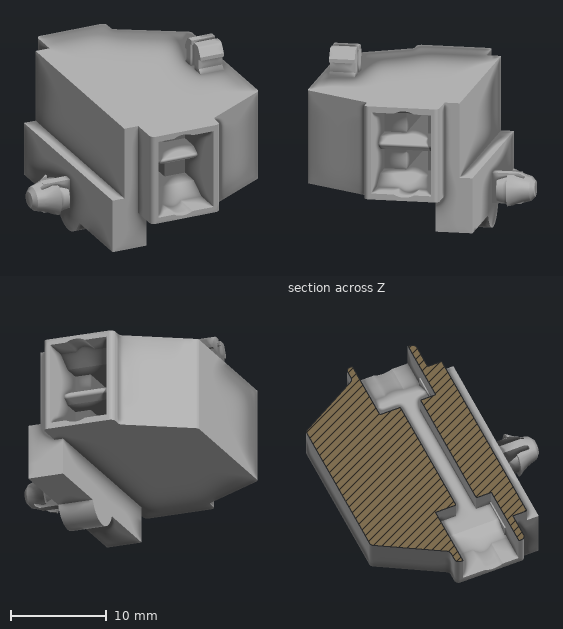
import cadquery as cq
import math


housing_width = 28.2
housing_height = 10.0
housing_depth = 16.8
front_half_width = 10.85
ear_front_y = 1.6
ear_back_y = 9.6
back_half_width = 8.25
flank_angle = 30.0
corner_radius = 0.5

entry_front_y = 2.43
entry_back_y = 8.8
entry_wall = 0.65
entry_flat_depth = 3.0
ramp_angle = 30.0
throat_z = 1.72
entry_depth = 7.0
channel_height = 0.28
channel_half_width = 1.07
window_width = 2.28
window_y = 5.3
divider_half_height = 0.68
divider_nose_radius = 0.28

bracket_front_y = -1.35
bracket_depth = 3.92
bracket_top_z = 2.0
bracket_bottom_z = -3.92
tab_radius = 2.8
tab_bottom_z = -5.78

clip_height = 3.0
clip_front_y = 13.05
clip_length = 2.74
clip_head_half_width = 1.85
clip_neck_half_width = 1.47
clip_neck_z = 1.52
clip_flare_height = 0.45
clip_top_half_width = 1.25
clip_round_radius = 0.5
clip_head_angle = 30.0
clip_slot_half_width = 0.48
clip_lip_half_gap = 0.28
clip_lip_z = 2.48

fastener_z = -1.45
fastener_half_height = 1.64
fastener_length = 4.55
stem_half_width = 0.48
barb_depth = 1.83
barb_radius = 2.37
cone_mid_depth = 3.07
cone_mid_radius = 1.64
cone_end_depth = 4.12
cone_end_radius = 1.3
tip_radius = 0.85
finger_start_depth = 0.7
finger_radius = 1.92
finger_inner_x = 1.58
finger_angle = 15.0
slot_end_depth = 3.5
slot_fillet = 0.17

ear_half_width = housing_width / 2
tan_ramp = math.tan(math.radians(ramp_angle))
entry_width = entry_back_y - entry_front_y
entry_mouth_x = -ear_half_width
entry_end_x = entry_mouth_x + entry_depth
ramp_end_x = entry_mouth_x + entry_flat_depth + (throat_z - entry_wall) / tan_ramp


def both_sides(shape):
    """Return the shape joined with its mirror image across X = 0."""
    return shape.union(shape.mirror("YZ"))


def make_housing():
    flank_spread = (housing_depth - ear_back_y) * math.tan(math.radians(flank_angle))
    flank_foot = back_half_width + flank_spread
    right_outline = [
        (ear_half_width, ear_front_y),
        (ear_half_width, ear_back_y),
        (flank_foot, ear_back_y),
        (back_half_width, housing_depth),
    ]
    left_outline = [(-x, y) for x, y in reversed(right_outline)]
    rounded_block = (
        cq.Workplane("XY")
        .polyline(right_outline + left_outline)
        .close()
        .extrude(housing_height)
        .edges("|Z")
        .fillet(corner_radius)
    )
    front_block = (
        cq.Workplane("XY")
        .center(0, ear_front_y / 2)
        .rect(2 * front_half_width, ear_front_y)
        .extrude(housing_height)
    )
    return rounded_block.union(front_block)


def make_entry_prism(floor_z):
    """Left entry with its floor at floor_z; ramps in floor and roof narrow it to the throat."""
    ramp_start_x = ramp_end_x - (throat_z - floor_z) / tan_ramp
    floor_outline = [
        (entry_mouth_x, floor_z),
        (ramp_start_x, floor_z),
        (ramp_end_x, throat_z),
        (entry_end_x, throat_z),
    ]
    roof_outline = [(x, housing_height - z) for x, z in reversed(floor_outline)]
    return (
        cq.Workplane("XZ", origin=(0, entry_back_y, 0))
        .polyline(floor_outline + roof_outline)
        .close()
        .extrude(entry_width)
    )


def make_divider():
    """Wedge with a round nose, reaching its full thickness where the entry ramps end."""
    nose_rise = divider_nose_radius * math.cos(math.radians(ramp_angle))
    nose_run = divider_nose_radius * (1 - math.sin(math.radians(ramp_angle)))
    shoulder_x = ramp_end_x - (divider_half_height - nose_rise) / tan_ramp
    return (
        cq.Workplane("XZ", origin=(0, entry_back_y, housing_height / 2))
        .moveTo(entry_end_x, -divider_half_height)
        .lineTo(ramp_end_x, -divider_half_height)
        .lineTo(shoulder_x, -nose_rise)
        .threePointArc((shoulder_x - nose_run, 0), (shoulder_x, nose_rise))
        .lineTo(ramp_end_x, divider_half_height)
        .lineTo(entry_end_x, divider_half_height)
        .close()
        .extrude(entry_width)
    )


def make_entry():
    """Cavity of the left wire entry, leaving its divider standing."""
    channel_radius = (channel_half_width**2 + channel_height**2) / (2 * channel_height)
    lower_center_z = entry_wall - channel_height + channel_radius
    channels = (
        cq.Workplane("YZ", origin=(entry_mouth_x, 0, 0))
        .pushPoints([(window_y, lower_center_z), (window_y, housing_height - lower_center_z)])
        .circle(channel_radius)
        .extrude(ramp_end_x - entry_mouth_x)
        .intersect(make_entry_prism(0))
    )
    return make_entry_prism(entry_wall).union(channels).cut(make_divider())


def make_windows():
    """Two passages joining the left and right wire entries, above and below the dividers."""
    window_height = housing_height / 2 - divider_half_height - throat_z
    offset_z = divider_half_height + window_height / 2
    return (
        cq.Workplane("YZ", origin=(entry_end_x, 0, 0))
        .pushPoints([(window_y, housing_height / 2 + side * offset_z) for side in (-1, 1)])
        .rect(window_width, window_height)
        .extrude(-2 * entry_end_x)
    )


def make_bracket():
    back_y = bracket_front_y + bracket_depth
    plate = (
        cq.Workplane("XZ", origin=(0, back_y, (bracket_top_z + bracket_bottom_z) / 2))
        .rect(2 * front_half_width, bracket_top_z - bracket_bottom_z)
        .extrude(bracket_depth)
    )
    tab = (
        cq.Workplane("XZ", origin=(0, back_y, tab_bottom_z + tab_radius))
        .circle(tab_radius)
        .extrude(bracket_depth)
    )
    return plate.union(tab)


def make_clip():
    """Two mirrored prongs with outward catches and a narrow lip at the top of the gap."""
    head_run = clip_head_half_width - clip_top_half_width
    head_z = clip_height - head_run / math.tan(math.radians(clip_head_angle))
    prong = (
        cq.Workplane("XZ", origin=(0, clip_front_y + clip_length, housing_height))
        .moveTo(clip_slot_half_width, 0)
        .lineTo(clip_head_half_width, 0)
        .lineTo(clip_neck_half_width, clip_flare_height)
        .lineTo(clip_neck_half_width, clip_neck_z)
        .lineTo(clip_head_half_width, clip_neck_z)
        .lineTo(clip_head_half_width, head_z)
        .lineTo(clip_top_half_width, clip_height)
        .lineTo(clip_lip_half_gap, clip_height)
        .lineTo(clip_lip_half_gap, clip_lip_z)
        .lineTo(clip_slot_half_width, clip_lip_z)
        .close()
        .extrude(clip_length)
    )
    prong = prong.faces(">Z").edges(">X").fillet(clip_round_radius)
    return both_sides(prong)


def make_fastener():
    """Barbed push-in peg: central stem, with two sprung fingers swept back from the tip."""
    head = (
        cq.Workplane("XY")
        .moveTo(0, finger_start_depth)
        .lineTo(finger_radius, finger_start_depth)
        .lineTo(finger_radius, barb_depth)
        .lineTo(barb_radius, barb_depth)
        .threePointArc((cone_mid_radius, cone_mid_depth), (cone_end_radius, cone_end_depth))
        .lineTo(tip_radius, fastener_length)
        .lineTo(0, fastener_length)
        .close()
        .revolve(360, (0, 0, 0), (0, 1, 0))
    )
    full_height = 2 * fastener_half_height
    trim = cq.Workplane("XY").box(2 * barb_radius, 2 * fastener_length, full_height)
    head = head.intersect(trim)

    tan_finger = math.tan(math.radians(finger_angle))
    slot_root_x = finger_inner_x - (slot_end_depth - finger_start_depth) * tan_finger
    slot_mouth_x = finger_inner_x + finger_start_depth * tan_finger
    slot = (
        cq.Workplane("XY", origin=(0, 0, -fastener_half_height))
        .moveTo(stem_half_width, 0)
        .lineTo(slot_mouth_x, 0)
        .lineTo(slot_root_x, slot_end_depth)
        .lineTo(stem_half_width, slot_end_depth)
        .close()
        .extrude(full_height)
        .faces(">Y")
        .edges("|Z")
        .fillet(slot_fillet)
    )
    stem = (
        cq.Workplane("XY")
        .box(2 * stem_half_width, cone_mid_depth, full_height)
        .translate((0, cone_mid_depth / 2, 0))
    )
    peg = head.cut(both_sides(slot)).union(stem)
    return peg.mirror("XZ").translate((0, bracket_front_y, fastener_z))


result = (
    make_housing()
    .cut(both_sides(make_entry()))
    .cut(make_windows())
    .union(make_bracket())
    .union(make_clip())
    .union(make_fastener())
)